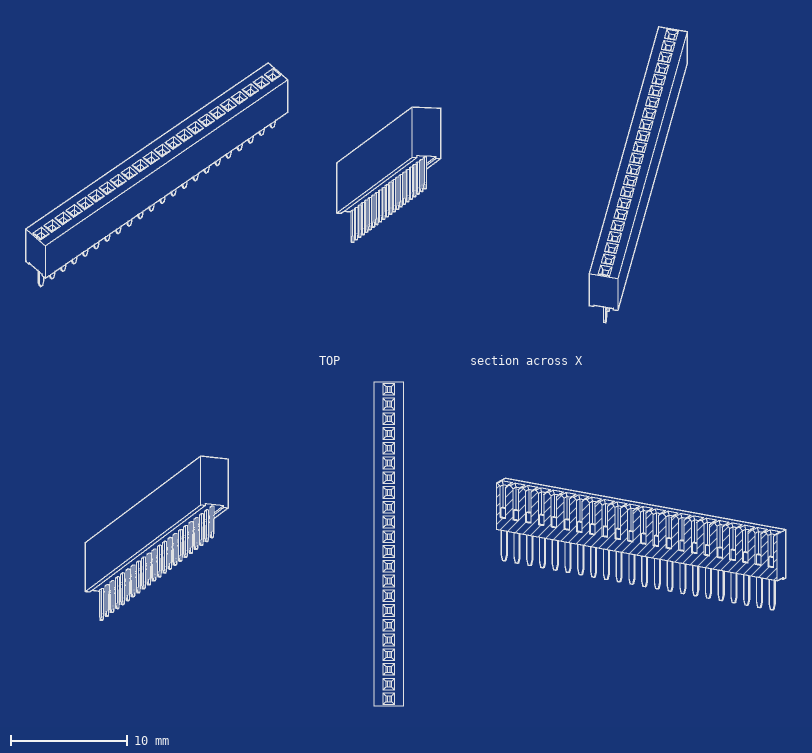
import cadquery as cq

contact_count = 22
body_length = 27.95
body_width = 2.55
body_height = 4.41
total_height = 7.0

foot_width = 0.42
foot_height = 0.17

mouth_size = 1.0
bore_size = 0.5
bore_floor_depth = 3.07

pin_width = 0.2
pin_length = 0.5
pin_top_depth = 2.24
tip_length = 0.25
tip_height = 0.5

pitch = body_length / contact_count
funnel_depth = (mouth_size - bore_size) / 2
body_bottom = total_height - body_height
channel_width = body_width - 2 * foot_width
first_contact_y = -(contact_count - 1) / 2 * pitch
contact_places = [(0, first_contact_y + i * pitch) for i in range(contact_count)]


def block(width, length, lower_z, upper_z):
    """Upright rectangular block between two levels, centred on the Z axis."""
    return cq.Workplane("XY", origin=(0, 0, lower_z)).rect(width, length).extrude(upper_z - lower_z)


def frustum(lower_size, upper_size, lower_z, upper_z):
    """Rectangular tapered block between two levels, centred on the Z axis."""
    return (
        cq.Workplane("XY", origin=(0, 0, lower_z))
        .rect(*lower_size)
        .workplane(offset=upper_z - lower_z)
        .rect(*upper_size)
        .loft(ruled=True)
    )


def at_every_contact(shape):
    """Copies of a shape at every contact position."""
    solid = shape.val()
    return cq.Workplane("XY").pushPoints(contact_places).eachpoint(lambda place: solid.moved(place))


def make_body():
    """Rectangular housing with a channel along its underside."""
    housing = block(body_width, body_length, body_bottom, total_height)
    channel = block(channel_width, body_length, body_bottom, body_bottom + foot_height)
    return housing.cut(channel)


def make_socket():
    """Hollow of one socket: the bore and the funnel above it."""
    funnel_bottom = total_height - funnel_depth
    bore = block(bore_size, bore_size, total_height - bore_floor_depth, funnel_bottom)
    funnel = frustum((bore_size, bore_size), (mouth_size, mouth_size), funnel_bottom, total_height)
    return bore.union(funnel)


def make_pin():
    """One pin, reaching from its tip up through the bore floor into the socket."""
    shank = block(pin_width, pin_length, tip_height, total_height - pin_top_depth)
    tip = frustum((pin_width, tip_length), (pin_width, pin_length), 0, tip_height)
    return shank.union(tip)


sockets = at_every_contact(make_socket())
pins = at_every_contact(make_pin())
result = make_body().cut(sockets).union(pins)